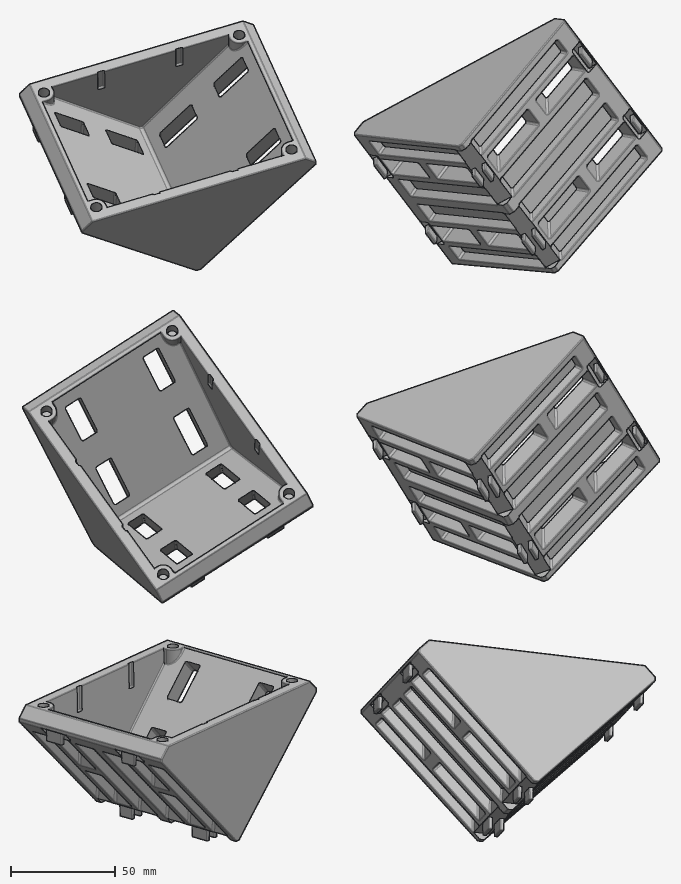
import cadquery as cq
import math

LENGTH_Y = 120.0
WIDTH_X = 88.0
BODY_HEIGHT = 66.0
TOTAL_HEIGHT = 68.9
RIM_CHAMFER = 5.3
EDGE_HEIGHT = 1.9
APEX_DEPTH = LENGTH_Y / 2 + RIM_CHAMFER + EDGE_HEIGHT
SIDE_DRAFT = 0.8
EDGE_FILLET = 0.5
MOUTH_FILLET = 0.4

SLOPE_THICKNESS = 10.1
CAVITY_APEX = APEX_DEPTH - SLOPE_THICKNESS * math.sqrt(2)
CAVITY_LENGTH = 105.0
CAVITY_WIDTH = 76.6
CAVITY_DRAFT = 1.3
CAVITY_FLOOR_FILLET = 1.5
CAVITY_WALL_FILLET = 0.6
CAVITY_RIM_FILLET = 0.3

BOSS_X = 36.5
BOSS_Y = 50.0
BOSS_RADIUS = 4.9
SCREW_HOLE_DIAMETER = 5.4
SCREW_HOLE_DEPTH = 8.0

WALL_SLOT_Y = 20.0
WALL_SLOT_WIDTH = 3.6
WALL_SLOT_REACH = 39.1
WALL_SLOT_DEPTH = 12.8
WALL_SLOT_FILLET = 0.6

WINDOW_X = 22.6
WINDOW_OUTER_WIDTH = 10.4
WINDOW_INNER_WIDTH = 9.1
WINDOW_SPANS = [(5.6, 29.1), (33.3, 55.2)]
WINDOW_RADIUS = 1.0
POCKET_DEPTH = 4.9
POCKET_SPAN = (4.1, 53.9)
POCKET_RADIUS = 1.0
POCKET_DRAFT_WIDTH = 1.2
POCKETS = [(8.4, 11.6), (35.6, 9.2)]

KEEL_CUT = (3.0, 39.9)
KEEL_CUT_HEIGHT = 62.9
KEEL_CUT_LENGTH = 20.0
KEEL_CUT_DRAFT = 6.0
SEAT_WIDTH = 15.0
SEAT_Y = 55.4
SEAT_RADIUS = 1.0
SEAT_TOP = RIM_CHAMFER + EDGE_HEIGHT
TAB_THICKNESS = 2.2
TAB_DRAFT = 1.5
TAB_FILLET = 0.4
TAB_EMBED = 1.0
NARROW_TAB = 8.0
WIDE_TAB = 9.8
UPPER_TAB_Y = 58.5
UPPER_TAB_BOTTOM = 13.4
LOWER_TAB_Y = 2.9

FACING_FRONT_SLOPE = cq.selectors.DirectionMinMaxSelector(cq.Vector(0, -1, -1))
FACING_BACK_SLOPE = cq.selectors.DirectionMinMaxSelector(cq.Vector(0, 1, -1))


def side_wedge(width, height, draft):
    """Slab through the full length whose side faces lean inward going down."""
    inset = height * math.tan(math.radians(draft))
    half = width / 2
    return (
        cq.Workplane("XZ")
        .polyline([(-half, 0), (half, 0), (half - inset, -height), (inset - half, -height)])
        .close()
        .extrude(LENGTH_Y, both=True)
    )


def make_body():
    half = LENGTH_Y / 2
    rim = half - RIM_CHAMFER
    keel = APEX_DEPTH - BODY_HEIGHT
    profile = (
        cq.Workplane("YZ")
        .polyline([
            (-rim, 0), (rim, 0), (half, -RIM_CHAMFER), (half, -SEAT_TOP),
            (keel, -BODY_HEIGHT), (-keel, -BODY_HEIGHT), (-half, -SEAT_TOP), (-half, -RIM_CHAMFER),
        ])
        .close()
        .extrude(WIDTH_X, both=True)
    )
    body = profile.intersect(side_wedge(WIDTH_X, BODY_HEIGHT, SIDE_DRAFT))
    return body.edges().fillet(EDGE_FILLET)


def corner_boss(x_sign, y_sign):
    """Round boss squared off toward the corner, as tall as the cavity."""
    round_part = cq.Workplane("XY").center(BOSS_X, BOSS_Y).circle(BOSS_RADIUS).extrude(-CAVITY_APEX)
    toward_end = cq.Workplane("XY").box(
        2 * BOSS_RADIUS, BOSS_RADIUS, CAVITY_APEX, centered=(True, False, False)
    ).translate((BOSS_X, BOSS_Y, -CAVITY_APEX))
    toward_side = cq.Workplane("XY").box(
        BOSS_RADIUS, 2 * BOSS_RADIUS, CAVITY_APEX, centered=(False, True, False)
    ).translate((BOSS_X, BOSS_Y, -CAVITY_APEX))
    boss = round_part.union(toward_end).union(toward_side)
    if x_sign < 0:
        boss = boss.mirror("YZ")
    if y_sign < 0:
        boss = boss.mirror("XZ")
    return boss


def make_cavity():
    half = CAVITY_LENGTH / 2
    shoulder = CAVITY_APEX - half
    cavity = (
        cq.Workplane("YZ")
        .polyline([(-half, 0), (half, 0), (half, -shoulder), (0, -CAVITY_APEX), (-half, -shoulder)])
        .close()
        .extrude(WIDTH_X, both=True)
        .edges("<Z")
        .fillet(CAVITY_FLOOR_FILLET)
        .intersect(side_wedge(CAVITY_WIDTH, CAVITY_APEX, CAVITY_DRAFT))
    )
    for x_sign in (-1, 1):
        for y_sign in (-1, 1):
            cavity = cavity.cut(corner_boss(x_sign, y_sign))
    slopes = cavity.faces(FACING_FRONT_SLOPE).add(cavity.faces(FACING_BACK_SLOPE))
    return slopes.edges("not |X").fillet(CAVITY_WALL_FILLET)


def slope_cut(x, span, outer_width, inner_width, depth, radius):
    """Tapered cut into the front slope; its lower end wall is upright, its upper end square."""
    slope = cq.Plane(origin=(0, 0, -APEX_DEPTH), xDir=(1, 0, 0), normal=(0, 1, 1))
    low = span[0] * math.sqrt(2)
    high = span[1] * math.sqrt(2)

    def section(level, width):
        length = high - low - level
        middle = -(high + low + level) / 2
        return cq.Sketch().rect(width, length).moved(cq.Location(cq.Vector(x, middle, level)))

    return (
        cq.Workplane(slope)
        .placeSketch(section(0, outer_width), section(depth, inner_width))
        .loft(ruled=True)
        .edges("not(|X or |(0,1,-1))")
        .fillet(radius)
    )


def make_seat(x):
    """Upright-walled relief under the front edge, leaving a flat ledge for an upper tab."""
    return (
        cq.Workplane("XZ", origin=(0, -SEAT_Y, 0))
        .center(x, -(SEAT_TOP + APEX_DEPTH - SEAT_Y) / 2)
        .rect(SEAT_WIDTH, APEX_DEPTH - SEAT_Y - SEAT_TOP)
        .extrude(LENGTH_Y / 2 - SEAT_Y)
        .edges("|Z and >Y")
        .fillet(SEAT_RADIUS)
    )


def make_tab(x, y, width, root, bottom):
    return (
        cq.Workplane("XY", origin=(x, y, TAB_EMBED - root))
        .rect(width, TAB_THICKNESS)
        .extrude(root - TAB_EMBED - bottom, taper=TAB_DRAFT)
        .edges("not >Z")
        .fillet(TAB_FILLET)
    )


def both_slopes(feature):
    return feature.union(feature.mirror("XZ"))


def make_keel_cut(x_sign):
    inner, outer = KEEL_CUT
    return (
        cq.Workplane("XY", origin=(x_sign * (inner + outer) / 2, 0, -BODY_HEIGHT))
        .rect(outer - inner, KEEL_CUT_LENGTH)
        .extrude(BODY_HEIGHT - KEEL_CUT_HEIGHT, taper=KEEL_CUT_DRAFT)
    )


def make_wall_slot(x_sign, y_sign):
    """Shallow blind slot in a side wall, open at the rim and toward the cavity."""
    return (
        cq.Workplane("XY", origin=(x_sign * BOSS_X, y_sign * WALL_SLOT_Y, 0))
        .rect(2 * (WALL_SLOT_REACH - BOSS_X), WALL_SLOT_WIDTH)
        .extrude(-WALL_SLOT_DEPTH)
        .edges("|Z or <Z")
        .fillet(WALL_SLOT_FILLET)
    )


def make_screw_hole(x_sign, y_sign):
    return (
        cq.Workplane("XY")
        .center(x_sign * BOSS_X, y_sign * BOSS_Y)
        .circle(SCREW_HOLE_DIAMETER / 2)
        .extrude(-SCREW_HOLE_DEPTH)
    )


def round_openings(part, face_selector, radius):
    """Round the rims of all openings in the selected face."""
    face = part.faces(face_selector)
    rims = [edge for wire in face.val().innerWires() for edge in wire.Edges()]
    return face.newObject(rims).fillet(radius)


result = round_openings(make_body().cut(make_cavity()), ">Z", CAVITY_RIM_FILLET)

for side in (-1, 1):
    for window_span in WINDOW_SPANS:
        window = slope_cut(
            side * WINDOW_X, window_span, WINDOW_OUTER_WIDTH, WINDOW_INNER_WIDTH,
            SLOPE_THICKNESS, WINDOW_RADIUS,
        )
        result = result.cut(both_slopes(window))
    for pocket_x, pocket_width in POCKETS:
        pocket = slope_cut(
            side * pocket_x, POCKET_SPAN, pocket_width, pocket_width - POCKET_DRAFT_WIDTH,
            POCKET_DEPTH, POCKET_RADIUS,
        )
        result = result.cut(both_slopes(pocket))

result = round_openings(result, FACING_FRONT_SLOPE, MOUTH_FILLET)
result = round_openings(result, FACING_BACK_SLOPE, MOUTH_FILLET)

for side in (-1, 1):
    tab_x = side * WINDOW_X
    upper_width, lower_width = (NARROW_TAB, WIDE_TAB) if side < 0 else (WIDE_TAB, NARROW_TAB)
    upper_tab = make_tab(tab_x, -UPPER_TAB_Y, upper_width, SEAT_TOP, UPPER_TAB_BOTTOM)
    lower_tab = make_tab(tab_x, -LOWER_TAB_Y, lower_width, KEEL_CUT_HEIGHT, TOTAL_HEIGHT)
    result = result.cut(both_slopes(make_seat(tab_x))).cut(make_keel_cut(side))
    result = result.union(both_slopes(upper_tab)).union(both_slopes(lower_tab))
    for end in (-1, 1):
        result = result.cut(make_wall_slot(side, end)).cut(make_screw_hole(side, end))